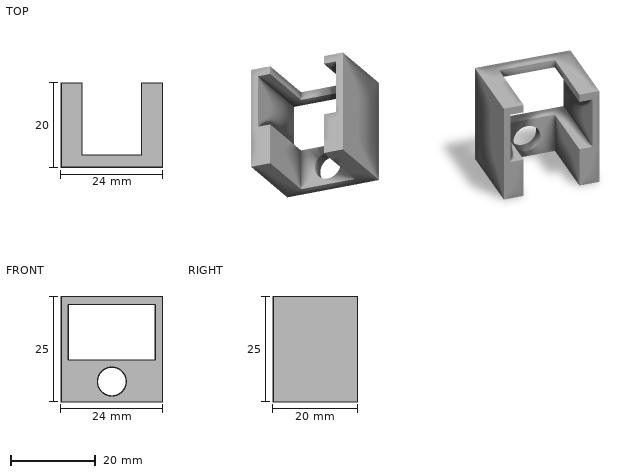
import cadquery as cq

WIDTH = 24.0
DEPTH = 20.0
HEIGHT = 25.0

FRONT_WALL = 3.0
SLOT_WIDTH = 14.0

WINDOW_WIDTH = 20.5
WINDOW_HEIGHT = 13.0
WINDOW_TOP_WALL = 2.0

HOLE_DIAMETER = 6.75
HOLE_HEIGHT = 4.85


def box_from_front(width, depth, height, front, bottom):
    """Box centred on X with its front face and underside at the given Y and Z."""
    box = cq.Workplane("XY").box(width, depth, height, centered=(True, False, False))
    return box.translate((0, front, bottom))


def slot():
    return box_from_front(SLOT_WIDTH, DEPTH - FRONT_WALL, HEIGHT, FRONT_WALL, 0)


def window():
    bottom = HEIGHT - WINDOW_TOP_WALL - WINDOW_HEIGHT
    return box_from_front(WINDOW_WIDTH, DEPTH, WINDOW_HEIGHT, 0, bottom)


def front_hole():
    profile = cq.Workplane("XZ").center(0, HOLE_HEIGHT).circle(HOLE_DIAMETER / 2)
    return profile.extrude(-FRONT_WALL)


block = box_from_front(WIDTH, DEPTH, HEIGHT, 0, 0)
result = block.cut(slot()).cut(window()).cut(front_hole())